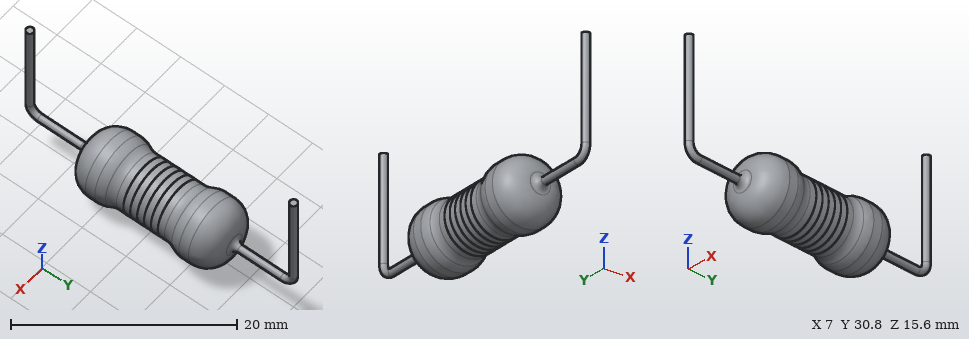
import cadquery as cq
import math


lead_diameter = 0.8
lead_pitch = 30.0
lead_top = 12.1
bend_radius = 1.2

body_length = 16.5
bulge_diameter = 7.0
waist_diameter = 5.95
band_diameter = 5.97
flare_radius = 0.7
bulge_inner_y = 4.78
waist_half_length = 2.74
waist_segments = 7

lead_radius = lead_diameter / 2
bulge_radius = bulge_diameter / 2
waist_radius = waist_diameter / 2
band_radius = band_diameter / 2
half_body = body_length / 2
half_pitch = lead_pitch / 2
collar_radius = lead_radius + flare_radius
end_radius = bulge_radius - collar_radius
bulge_outer_y = half_body - end_radius
segment_length = 2 * waist_half_length / waist_segments
diagonal = math.sqrt(0.5)


def quarter_midpoint(center, reach):
    """Middle (radius, y) of a quarter arc; a negative reach points inward and to -Y."""
    return (center[0] + reach * diagonal, center[1] + reach * diagonal)


def half_body_solid():
    """Revolve the +Y half of the body: waist, bulge, rounded end and lead collar."""
    shoulder_run = (bulge_inner_y - waist_half_length) / 2
    shoulder_rise = (bulge_radius - waist_radius) / 2
    shoulder_middle = (waist_radius + shoulder_rise, waist_half_length + shoulder_run)
    collar_end_y = half_body + flare_radius
    collar_middle = quarter_midpoint((collar_radius, collar_end_y), -flare_radius)
    end_middle = quarter_midpoint((collar_radius, bulge_outer_y), end_radius)
    profile = (
        cq.Workplane("XY")
        .lineTo(waist_radius, 0)
        .lineTo(waist_radius, waist_half_length)
        .tangentArcPoint(shoulder_middle, relative=False)
        .tangentArcPoint((bulge_radius, bulge_inner_y), relative=False)
        .lineTo(bulge_radius, bulge_outer_y)
        .threePointArc(end_middle, (collar_radius, half_body))
        .threePointArc(collar_middle, (lead_radius, collar_end_y))
        .lineTo(0, collar_end_y)
        .close()
    )
    return profile.revolve(360, (0, 0, 0), (0, 1, 0))


def color_band(index):
    """Thin raised ring covering one segment of the waist."""
    start_y = -waist_half_length + index * segment_length
    return (
        cq.Workplane("XZ", origin=(0, start_y, 0))
        .circle(band_radius)
        .extrude(-segment_length)
    )


def lead():
    """Wire on the +Y side: out of the collar, round the bend and straight up."""
    start_y = half_body + flare_radius
    bend_start_y = half_pitch - bend_radius
    bend_middle = (bend_start_y + bend_radius * diagonal, bend_radius * (1 - diagonal))
    path = (
        cq.Workplane("YZ")
        .moveTo(start_y, 0)
        .lineTo(bend_start_y, 0)
        .threePointArc(bend_middle, (half_pitch, bend_radius))
        .lineTo(half_pitch, lead_top)
    )
    return cq.Workplane("XZ", origin=(0, start_y, 0)).circle(lead_radius).sweep(path)


half = half_body_solid().union(lead())
result = half.union(half.mirror("XZ"))
for band_index in range(1, waist_segments, 2):
    result = result.union(color_band(band_index))